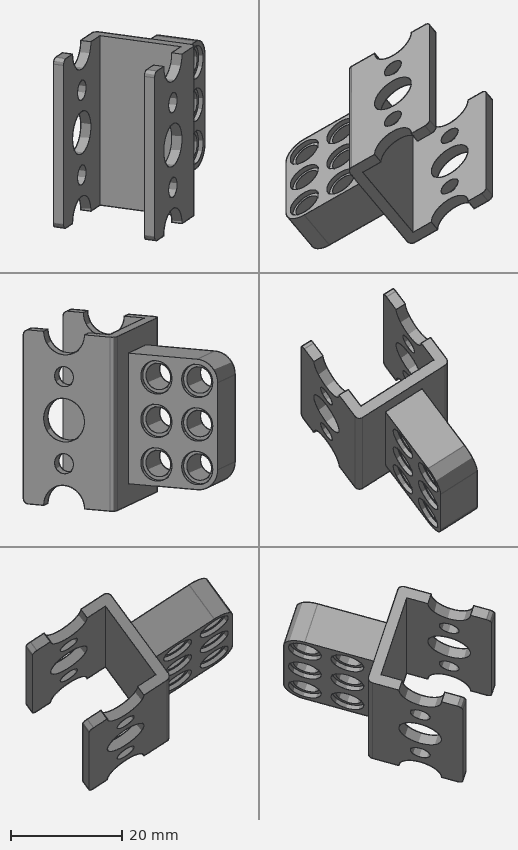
import cadquery as cq

pitch = 7.998
half_pitch = pitch / 2

channel_width = 20.0
channel_height = 4 * pitch
channel_depth = 18.0
wall = 2.02
edge_radius = 1.0

large_hole_diameter = 8.0
small_hole_diameter = 3.7
wall_hole_y = pitch

total_length = 35.5
block_thickness = pitch
block_height = 3 * pitch
block_corner_radius = half_pitch
block_hole_diameter = 4.83
counterbore_diameter = 6.1
counterbore_depth = 0.9


def cylinder_along_x(y, z, diameter, length, center_x=0):
    """Cylinder parallel to X, centred on the given point."""
    return (
        cq.Workplane("YZ", origin=(center_x, y, z))
        .circle(diameter / 2)
        .extrude(length / 2, both=True)
    )


def make_channel():
    """Rounded U-channel whose open end lies at Y = 0."""
    body = cq.Workplane("XY").box(
        channel_width, channel_depth, channel_height, centered=(True, False, True)
    )
    body = body.edges("|Z and >Y").fillet(edge_radius)
    body = body.edges("|X and <Y").fillet(edge_radius)
    cavity = cq.Workplane("XY").box(
        channel_width - 2 * wall, channel_depth - wall, channel_height,
        centered=(True, False, True),
    )
    return body.cut(cavity)


def cut_wall_holes(channel):
    """Central hole, two small holes and a half-round notch at each end."""
    holes = [
        (-2 * pitch, large_hole_diameter),
        (-pitch, small_hole_diameter),
        (0, large_hole_diameter),
        (pitch, small_hole_diameter),
        (2 * pitch, large_hole_diameter),
    ]
    for z, diameter in holes:
        channel = channel.cut(cylinder_along_x(wall_hole_y, z, diameter, channel_width))
    return channel


def make_block():
    """Block with two columns of three holes, counterbored from both faces."""
    length = total_length - channel_depth
    block = cq.Workplane("XY", origin=(0, channel_depth, 0)).box(
        block_thickness, length, block_height, centered=(True, False, True)
    )
    block = block.edges("|X and >Y").fillet(block_corner_radius)
    last_column_y = total_length - half_pitch
    for y in (last_column_y - pitch, last_column_y):
        for z in (-pitch, 0, pitch):
            block = block.cut(cylinder_along_x(y, z, block_hole_diameter, block_thickness))
            for face_x in (-block_thickness / 2, block_thickness / 2):
                block = block.cut(
                    cylinder_along_x(y, z, counterbore_diameter, 2 * counterbore_depth, face_x)
                )
    return block


result = cut_wall_holes(make_channel()).union(make_block())